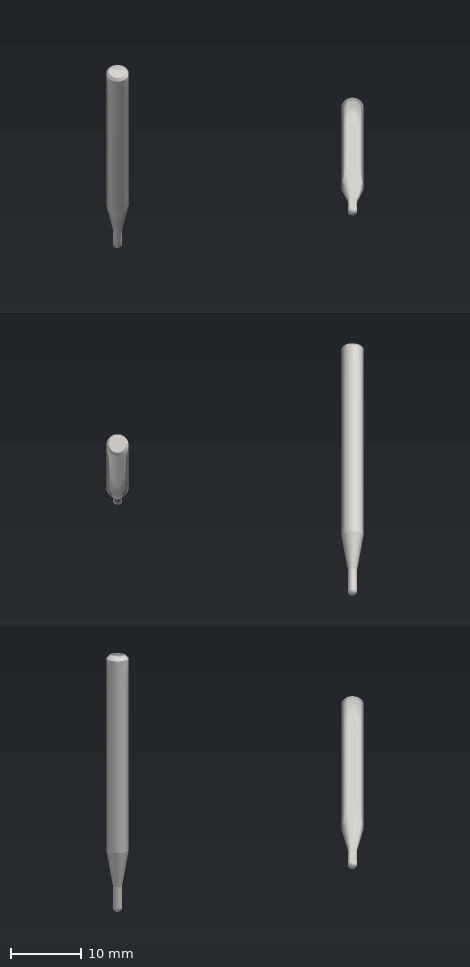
import cadquery as cq
import math

total_length = 38.1
shank_diameter = 3.15
neck_diameter = 1.3
neck_top = 3.9
taper_top = 9.22
shank_chamfer = 0.4

shank_radius = shank_diameter / 2
neck_radius = neck_diameter / 2

tip_arc_x = neck_radius * math.sin(math.radians(45))
tip_arc_z = neck_radius - tip_arc_x

half_profile = (
    cq.Workplane("XZ")
    .moveTo(0, 0)
    .threePointArc((tip_arc_x, tip_arc_z), (neck_radius, neck_radius))
    .lineTo(neck_radius, neck_top)
    .lineTo(shank_radius, taper_top)
    .lineTo(shank_radius, total_length - shank_chamfer)
    .lineTo(shank_radius - shank_chamfer, total_length)
    .lineTo(0, total_length)
    .close()
)

result = half_profile.revolve(360, (0, 0, 0), (0, 1, 0))